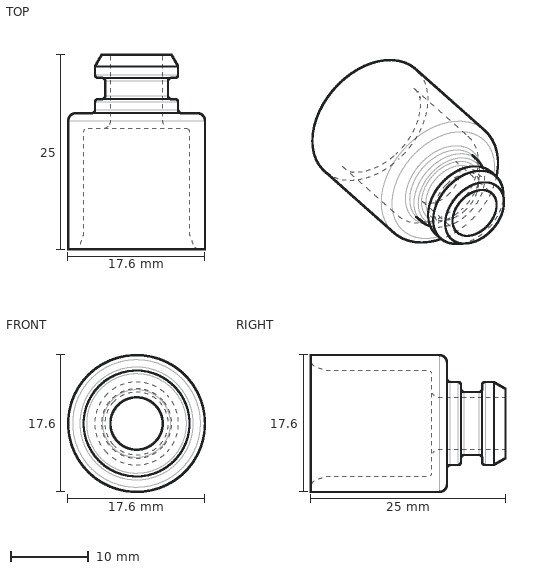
import cadquery as cq
import math

total_length = 25.0
body_radius = 8.8
body_length = 17.5
body_corner = 1.0

spigot_radius = 5.35
neck_radius = 4.05
collar_length = 1.8
head_length = 3.0
tip_cone_length = 1.5
tip_cone_angle = math.radians(30)
small_fillet = 0.4

mouth_radius = 8.2
mouth_fillet = 1.0
lead_in_angle = math.radians(20)
lead_in_blend = 1.0
socket_radius = 6.8
end_wall = 2.0
socket_corner = 0.4
hole_radius = 3.35
hole_fillet = 1.0

collar_end = body_length + collar_length
head_start = total_length - head_length
tip_cone_start = total_length - tip_cone_length
tip_radius = spigot_radius - tip_cone_length * math.tan(tip_cone_angle)
floor = body_length - end_wall


def arc(profile, center, radius, start, end):
    """Add a circular arc from angle start to angle end; the pen is already at its start."""
    def point(angle):
        return (center[0] + radius * math.cos(angle), center[1] + radius * math.sin(angle))
    return profile.threePointArc(point((start + end) / 2), point(end))


def quarter(profile, center, radius, start_degrees, end_degrees):
    return arc(profile, center, radius, math.radians(start_degrees), math.radians(end_degrees))


def outer_body():
    """Revolve the outside: body, collar, neck groove and tapered head."""
    f = small_fillet
    p = cq.Workplane("XY").lineTo(body_radius, 0)
    p = p.lineTo(body_radius, body_length - body_corner)
    p = quarter(p, (body_radius - body_corner, body_length - body_corner), body_corner, 0, 90)
    p = p.lineTo(spigot_radius + f, body_length)
    p = quarter(p, (spigot_radius + f, body_length + f), f, 270, 180)
    p = p.lineTo(spigot_radius, collar_end - f)
    p = quarter(p, (spigot_radius - f, collar_end - f), f, 0, 90)
    p = p.lineTo(neck_radius + f, collar_end)
    p = quarter(p, (neck_radius + f, collar_end + f), f, 270, 180)
    p = p.lineTo(neck_radius, head_start - f)
    p = quarter(p, (neck_radius + f, head_start - f), f, 180, 90)
    p = p.lineTo(spigot_radius - f, head_start)
    p = quarter(p, (spigot_radius - f, head_start + f), f, 270, 360)
    p = p.lineTo(spigot_radius, tip_cone_start)
    p = p.lineTo(tip_radius, total_length).lineTo(0, total_length).close()
    return p.revolve(360, (0, 0), (0, 1))


def inner_cavity():
    """Revolve the void: rounded mouth, conical lead-in, socket and rounded through hole."""
    cone_start_radius = mouth_radius - mouth_fillet * math.cos(lead_in_angle)
    cone_start = mouth_fillet * (1 - math.sin(lead_in_angle))
    blend_start_radius = socket_radius + lead_in_blend * (1 - math.cos(lead_in_angle))
    cone_length = (cone_start_radius - blend_start_radius) / math.tan(lead_in_angle)
    blend_start = cone_start + cone_length
    blend_end = blend_start + lead_in_blend * math.sin(lead_in_angle)

    p = cq.Workplane("XY").lineTo(mouth_radius, 0)
    p = arc(p, (mouth_radius, mouth_fillet), mouth_fillet, 1.5 * math.pi, math.pi + lead_in_angle)
    p = p.lineTo(blend_start_radius, blend_start)
    p = arc(p, (socket_radius + lead_in_blend, blend_end), lead_in_blend,
            math.pi + lead_in_angle, math.pi)
    p = p.lineTo(socket_radius, floor - socket_corner)
    p = quarter(p, (socket_radius - socket_corner, floor - socket_corner), socket_corner, 0, 90)
    p = p.lineTo(hole_radius + hole_fillet, floor)
    p = quarter(p, (hole_radius + hole_fillet, floor + hole_fillet), hole_fillet, 270, 180)
    p = p.lineTo(hole_radius, total_length).lineTo(0, total_length).close()
    return p.revolve(360, (0, 0), (0, 1))


result = outer_body().cut(inner_cavity())